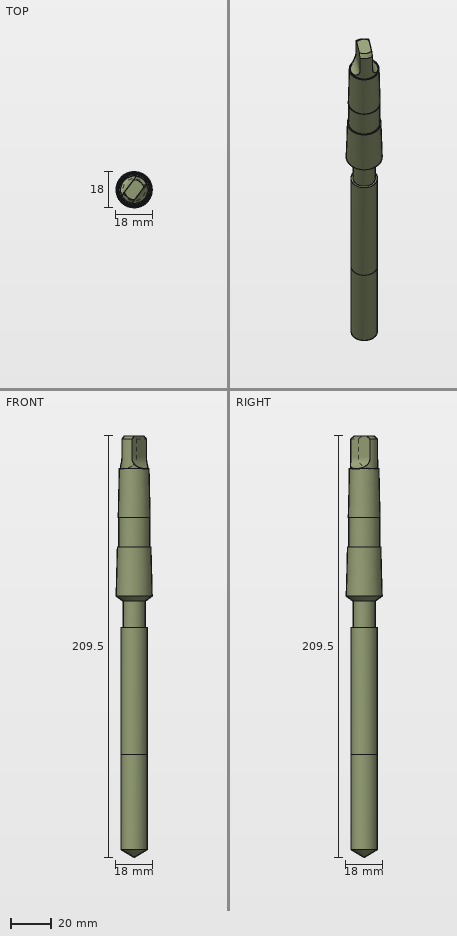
import cadquery as cq
import math


drill_diameter = 13.2
neck_diameter = 11.1
point_angle = 118

collar_diameter = 18.0
lower_taper_top_diameter = 16.8
recess_diameter = 15.5
upper_taper_bottom_diameter = 16.0
upper_taper_top_diameter = 14.9
tang_diameter = 13.6

cutting_top = 51.1
drill_top = 114.5
neck_top = 127.5
collar_bottom = 130.0
lower_taper_top = 154.5
recess_top = 169.0
shoulder_height = 193.2
overall_length = 209.5

tang_thickness = 6.3
tang_angle = 53
flat_bottom = 198.9
runout_radius = 6.0
end_chamfer_width = 1.9
end_chamfer_height = 1.7

point_height = drill_diameter / 2 / math.tan(math.radians(point_angle / 2))


def revolve_profile(points):
    """Turn a closed (radius, height) outline about the Z axis."""
    return cq.Workplane("XZ").polyline(points).close().revolve(360, (0, 0, 0), (0, 1, 0))


def make_cutting_end():
    """Cylindrical drill end with a conical point."""
    radius = drill_diameter / 2
    return revolve_profile([
        (0, 0),
        (radius, point_height),
        (radius, cutting_top),
        (0, cutting_top),
    ])


def make_turned_shank():
    """Drill body, neck, recessed taper and round tang blank."""
    tang_radius = tang_diameter / 2
    return revolve_profile([
        (0, cutting_top),
        (drill_diameter / 2, cutting_top),
        (drill_diameter / 2, drill_top),
        (neck_diameter / 2, drill_top),
        (neck_diameter / 2, neck_top),
        (collar_diameter / 2, collar_bottom),
        (lower_taper_top_diameter / 2, lower_taper_top),
        (recess_diameter / 2, lower_taper_top),
        (recess_diameter / 2, recess_top),
        (upper_taper_bottom_diameter / 2, recess_top),
        (upper_taper_top_diameter / 2, shoulder_height),
        (tang_radius, shoulder_height),
        (tang_radius, overall_length - end_chamfer_height),
        (tang_radius - end_chamfer_width, overall_length),
        (0, overall_length),
    ])


def make_flat_cutter():
    """Cutter for one tang flat, with a quarter-round run-out at its foot."""
    flat = tang_thickness / 2
    outer = flat + runout_radius
    arc_offset = runout_radius * math.sqrt(0.5)
    return (
        cq.Workplane("XZ")
        .moveTo(flat, overall_length)
        .lineTo(flat, flat_bottom)
        .threePointArc((outer - arc_offset, flat_bottom - arc_offset), (outer, flat_bottom - runout_radius))
        .lineTo(outer, overall_length)
        .close()
        .extrude(collar_diameter / 2, both=True)
    )


def make_shank():
    """Turned shank with two opposite flats milled on its tang."""
    shank = make_turned_shank()
    cutter = make_flat_cutter()
    for side_angle in (90, 270):
        shank = shank.cut(cutter.rotate((0, 0, 0), (0, 0, 1), tang_angle + side_angle))
    return shank


cutting_end = make_cutting_end()
shank = make_shank()

result = cq.Compound.makeCompound([cutting_end.val(), shank.val()])